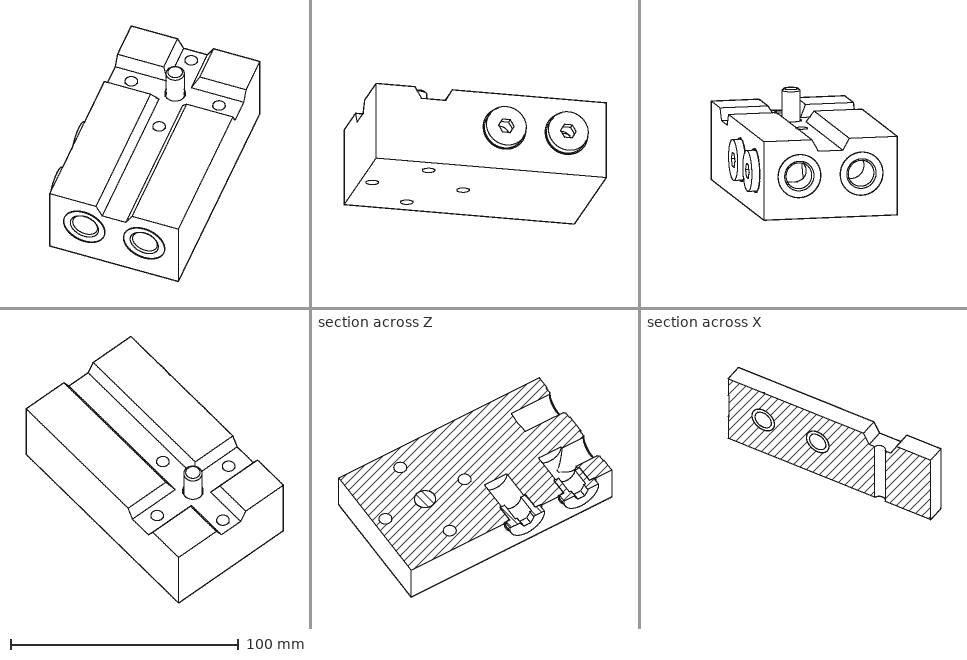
import cadquery as cq
import math

HOUSING_WIDTH = 60.1
HOUSING_LENGTH = 104.0
HOUSING_HEIGHT = 35.0
LEFT_FACE_X = -HOUSING_WIDTH / 2

GROOVE_FLOOR_WIDTH = 11.0
GROOVE_TOP_WIDTH = 16.8
GROOVE_DEPTH = 5.2
GROOVE_FLOOR_Z = HOUSING_HEIGHT - GROOVE_DEPTH
CROSS_Y = 78.0

MOUNT_HOLE_DIAMETER = 5.5
MOUNT_HOLE_OFFSET = 20.5

PORT_SPACING = 28.0
PORT_Z = 19.0
PORT_BORE_DIAMETER = 11.5
PORT_MOUTH_DIAMETER = 13.2
SPOTFACE_DIAMETER = 19.2
SPOTFACE_DEPTH = 0.4
BORE_POINT_ANGLE = 170.0
OPEN_PORT_X = -PORT_SPACING / 2
BLIND_PORT_X = PORT_SPACING / 2
BLIND_PORT_DEPTH = 20.8

FIRST_PLUG_Y = 18.0
PLUG_POSITIONS_Y = [FIRST_PLUG_Y, FIRST_PLUG_Y + PORT_SPACING]
PLUG_HEAD_DIAMETER = 18.0
PLUG_HEAD_PROTRUSION = 3.3
PLUG_SHANK_DIAMETER = 13.0
PLUG_SHANK_LENGTH = 8.3
PLUG_HEAD_THICKNESS = PLUG_HEAD_PROTRUSION + SPOTFACE_DEPTH
PLUG_SEAT_X = LEFT_FACE_X + SPOTFACE_DEPTH
HEX_ACROSS_FLATS = 6.0
HEX_DEPTH = 3.2
PLUG_HOLLOW_DIAMETER = 8.3
PLUG_HOLLOW_LENGTH = PLUG_HEAD_THICKNESS - HEX_DEPTH + PLUG_SHANK_LENGTH

CROSS_BORE_DIAMETER = 11.4
CROSS_BORE_END_X = OPEN_PORT_X + PORT_MOUTH_DIAMETER / 2

PIN_DIAMETER = 8.0
PIN_TOP_Z = 44.0
PIN_TIP_CHAMFER = 0.8
PIN_BASE_DIAMETER = 9.0
PIN_BASE_CHAMFER = (PIN_BASE_DIAMETER - PIN_DIAMETER) / 2
PIN_BASE_RECESS = 1.6
PIN_SEAT_DEPTH = 10.4
PIN_BOTTOM_Z = GROOVE_FLOOR_Z - PIN_SEAT_DEPTH


def cylinder(diameter, length, start, direction):
    return cq.Workplane(cq.Solid.makeCylinder(diameter / 2, length, cq.Vector(*start), cq.Vector(*direction)))


def cone(start_diameter, end_diameter, length, start, direction):
    start_radius = start_diameter / 2
    end_radius = end_diameter / 2
    return cq.Workplane(
        cq.Solid.makeCone(start_radius, end_radius, length, cq.Vector(*start), cq.Vector(*direction))
    )


def groove_outline(plane, centre):
    """Trapezoid on the given plane, with its wide side at the top face."""
    return plane.polyline([
        (centre - GROOVE_TOP_WIDTH / 2, HOUSING_HEIGHT),
        (centre - GROOVE_FLOOR_WIDTH / 2, GROOVE_FLOOR_Z),
        (centre + GROOVE_FLOOR_WIDTH / 2, GROOVE_FLOOR_Z),
        (centre + GROOVE_TOP_WIDTH / 2, HOUSING_HEIGHT),
    ]).close()


def make_grooves():
    lengthwise = groove_outline(cq.Workplane("XZ"), 0).extrude(-HOUSING_LENGTH)
    crosswise = groove_outline(cq.Workplane("YZ", origin=(LEFT_FACE_X, 0, 0)), CROSS_Y).extrude(HOUSING_WIDTH)
    return lengthwise.union(crosswise)


def make_mount_holes():
    return (
        cq.Workplane("XY")
        .center(0, CROSS_Y)
        .polarArray(MOUNT_HOLE_OFFSET, 0, 360, 4)
        .circle(MOUNT_HOLE_DIAMETER / 2)
        .extrude(HOUSING_HEIGHT)
    )


def make_port(x, depth):
    """Shallow spotface, chamfered mouth and bore, entering the front face along +Y."""
    inward = (0, 1, 0)
    spotface = cylinder(SPOTFACE_DIAMETER, SPOTFACE_DEPTH, (x, 0, PORT_Z), inward)
    bore = cylinder(PORT_BORE_DIAMETER, depth, (x, 0, PORT_Z), inward)
    chamfer = (PORT_MOUTH_DIAMETER - PORT_BORE_DIAMETER) / 2
    mouth = cone(PORT_MOUTH_DIAMETER, PORT_BORE_DIAMETER, chamfer, (x, SPOTFACE_DEPTH, PORT_Z), inward)
    return spotface.union(bore).union(mouth)


def make_blind_port():
    point_length = PORT_BORE_DIAMETER / 2 / math.tan(math.radians(BORE_POINT_ANGLE / 2))
    point = cone(PORT_BORE_DIAMETER, 0, point_length, (BLIND_PORT_X, BLIND_PORT_DEPTH, PORT_Z), (0, 1, 0))
    return make_port(BLIND_PORT_X, BLIND_PORT_DEPTH).union(point)


def make_plug_hole(y):
    """Spotface, shank seat and cross bore, entering the left face along +X."""
    inward = (1, 0, 0)
    spotface = cylinder(SPOTFACE_DIAMETER, SPOTFACE_DEPTH, (LEFT_FACE_X, y, PORT_Z), inward)
    seat = cylinder(PLUG_SHANK_DIAMETER, PLUG_SHANK_LENGTH, (PLUG_SEAT_X, y, PORT_Z), inward)
    bore_length = CROSS_BORE_END_X - PLUG_SEAT_X
    bore = cylinder(CROSS_BORE_DIAMETER, bore_length, (PLUG_SEAT_X, y, PORT_Z), inward)
    return spotface.union(seat).union(bore)


def make_pin_seat():
    """Blind hole that the pin base fills, open around the pin stem at the groove floor."""
    return cylinder(PIN_BASE_DIAMETER, PIN_SEAT_DEPTH, (0, CROSS_Y, PIN_BOTTOM_Z), (0, 0, 1))


def make_housing():
    block = cq.Workplane("XY").box(
        HOUSING_WIDTH, HOUSING_LENGTH, HOUSING_HEIGHT, centered=(True, False, False)
    )
    block = block.cut(make_grooves()).cut(make_mount_holes()).cut(make_pin_seat())
    block = block.cut(make_port(OPEN_PORT_X, FIRST_PLUG_Y)).cut(make_blind_port())
    for y in PLUG_POSITIONS_Y:
        block = block.cut(make_plug_hole(y))
    return block


def make_plug(y):
    """Headed plug, hollow from its inner end up to the hexagon socket in its head."""
    inward = (1, 0, 0)
    head_face_x = PLUG_SEAT_X - PLUG_HEAD_THICKNESS
    head = cylinder(PLUG_HEAD_DIAMETER, PLUG_HEAD_THICKNESS, (head_face_x, y, PORT_Z), inward)
    shank = cylinder(PLUG_SHANK_DIAMETER, PLUG_SHANK_LENGTH, (PLUG_SEAT_X, y, PORT_Z), inward)
    hollow = cylinder(PLUG_HOLLOW_DIAMETER, PLUG_HOLLOW_LENGTH, (head_face_x + HEX_DEPTH, y, PORT_Z), inward)
    hex_across_corners = HEX_ACROSS_FLATS / math.cos(math.pi / 6)
    socket = (
        cq.Workplane("YZ", origin=(head_face_x, y, PORT_Z))
        .polygon(6, hex_across_corners)
        .extrude(HEX_DEPTH)
    )
    return head.union(shank).cut(socket).cut(hollow)


def make_pin():
    bottom_centre = (0, CROSS_Y, PIN_BOTTOM_Z)
    upward = (0, 0, 1)
    base = cylinder(PIN_BASE_DIAMETER, PIN_SEAT_DEPTH - PIN_BASE_RECESS, bottom_centre, upward)
    stem = cylinder(PIN_DIAMETER, PIN_TOP_Z - PIN_BOTTOM_Z, bottom_centre, upward)
    chamfered_base = base.faces(">Z").chamfer(PIN_BASE_CHAMFER)
    chamfered_stem = stem.faces(">Z").chamfer(PIN_TIP_CHAMFER)
    return chamfered_base.union(chamfered_stem)


housing = make_housing()
pin = make_pin()
plugs = [make_plug(y) for y in PLUG_POSITIONS_Y]

result = cq.Compound.makeCompound([housing.val(), pin.val(), *[plug.val() for plug in plugs]])